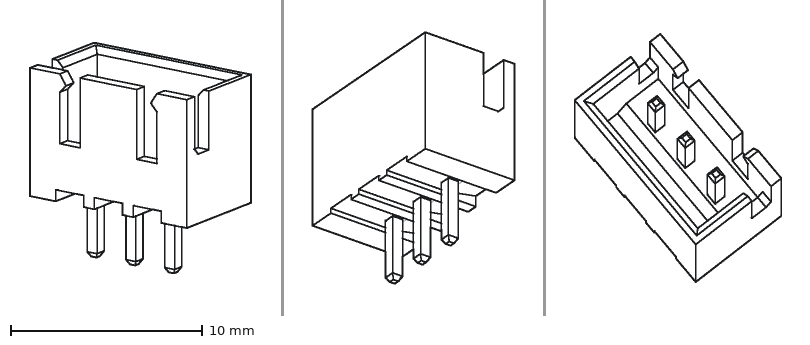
import cadquery as cq

WIDTH = 10.1
DEPTH = 5.75
HEIGHT = 7.0
WALL = 0.7

FLOOR_Z = 1.99
FLOOR_STEP = 0.59
FLOOR_SLOPE_Y = 2.84
LEAD_IN = 0.35

SIDE_SLOT_BACK_Y = 1.99
SIDE_SLOT_Z = 3.8
SIDE_SLOT_CHAMFER = 0.33

FRONT_SLOT_WIDTH = 1.3
FRONT_SLOT_INSET = 1.92
FRONT_SLOT_Z = 3.19
HOOK_REACH = 0.4
HOOK_TIP_DEPTH = 0.58
HOOK_END_DEPTH = 1.0

NOTCH_WIDTH = 1.8
NOTCH_HEIGHT = 0.29
NOTCH_FRONT_HEIGHT = 0.63
NOTCH_SLOPE_LENGTH = 1.87

PIN_COUNT = 3
PIN_PITCH = 2.5
PIN_SIZE = 0.65
PIN_Y = 2.33
PIN_BOTTOM_Z = -3.4
PIN_TOP_Z = HEIGHT - 0.99
PIN_TIP_LENGTH = 0.28
PIN_TIP_SIZE = 0.32

PIN_POSITIONS = [(i - (PIN_COUNT - 1) / 2) * PIN_PITCH for i in range(PIN_COUNT)]


def box_between(x0, x1, y0, y1, z0, z1):
    """Axis-aligned box given by its limits."""
    return cq.Workplane("XY").box(x1 - x0, y1 - y0, z1 - z0, centered=False).translate((x0, y0, z0))


def side_profile_prism(points, width, x=0):
    """Prism along X, centred on x, from (Y, Z) points."""
    return cq.Workplane("YZ").polyline(points).close().extrude(width / 2, both=True).translate((x, 0, 0))


def make_cavity():
    """Open-topped cavity whose floor slopes down behind the pins."""
    back_y = DEPTH - WALL
    return side_profile_prism(
        [
            (WALL, HEIGHT),
            (WALL, FLOOR_Z),
            (FLOOR_SLOPE_Y, FLOOR_Z),
            (FLOOR_SLOPE_Y + FLOOR_STEP, FLOOR_Z - FLOOR_STEP),
            (back_y, FLOOR_Z - FLOOR_STEP),
            (back_y, HEIGHT),
        ],
        WIDTH - 2 * WALL,
    )


def make_lead_in():
    """Cutter that bevels the cavity rim along the back and end walls."""
    inner_width = WIDTH - 2 * WALL
    inner_depth = DEPTH - 2 * WALL
    cutter = (
        cq.Workplane("XY", origin=(0, DEPTH / 2, HEIGHT - LEAD_IN))
        .rect(inner_width, inner_depth)
        .workplane(offset=LEAD_IN)
        .rect(inner_width + 2 * LEAD_IN, inner_depth + 2 * LEAD_IN)
        .loft()
    )
    behind_front_wall = box_between(-WIDTH, WIDTH, WALL, DEPTH, 0, HEIGHT)
    return cutter.intersect(behind_front_wall)


def make_side_slots():
    """Slot through both end walls with a beveled lower front corner."""
    return side_profile_prism(
        [
            (WALL, HEIGHT),
            (WALL, SIDE_SLOT_Z + SIDE_SLOT_CHAMFER),
            (WALL + SIDE_SLOT_CHAMFER, SIDE_SLOT_Z),
            (SIDE_SLOT_BACK_Y, SIDE_SLOT_Z),
            (SIDE_SLOT_BACK_Y, HEIGHT),
        ],
        WIDTH,
    )


def make_left_front_slot():
    """Front wall slot; the hook projects from its outer edge."""
    outer_x = -WIDTH / 2 + FRONT_SLOT_INSET
    inner_x = outer_x + FRONT_SLOT_WIDTH
    outline = [
        (outer_x, HEIGHT),
        (outer_x + HOOK_REACH, HEIGHT - HOOK_TIP_DEPTH),
        (outer_x, HEIGHT - HOOK_END_DEPTH),
        (outer_x, FRONT_SLOT_Z),
        (inner_x, FRONT_SLOT_Z),
        (inner_x, HEIGHT),
    ]
    return cq.Workplane("XZ").polyline(outline).close().extrude(-WALL)


def make_notch(x):
    """Underside notch through the depth, with a ceiling rising at the front."""
    return side_profile_prism(
        [
            (0, 0),
            (0, NOTCH_FRONT_HEIGHT),
            (NOTCH_SLOPE_LENGTH, NOTCH_HEIGHT),
            (DEPTH, NOTCH_HEIGHT),
            (DEPTH, 0),
        ],
        NOTCH_WIDTH,
        x,
    )


def make_pin(x):
    """Square pin with tapered ends."""
    shaft_bottom = PIN_BOTTOM_Z + PIN_TIP_LENGTH
    shaft_top = PIN_TOP_Z - PIN_TIP_LENGTH
    shaft = cq.Workplane("XY").workplane(offset=shaft_bottom).rect(PIN_SIZE, PIN_SIZE)
    pin = shaft.extrude(shaft_top - shaft_bottom)
    for end_z, direction in ((shaft_top, 1), (shaft_bottom, -1)):
        tip = (
            cq.Workplane("XY", origin=(0, 0, end_z))
            .rect(PIN_SIZE, PIN_SIZE)
            .workplane(offset=direction * PIN_TIP_LENGTH)
            .rect(PIN_TIP_SIZE, PIN_TIP_SIZE)
            .loft()
        )
        pin = pin.union(tip)
    return pin.translate((x, PIN_Y, 0))


def make_housing(pins):
    """Shrouded housing with a matching hole for each pin."""
    housing = box_between(-WIDTH / 2, WIDTH / 2, 0, DEPTH, 0, HEIGHT)
    left_slot = make_left_front_slot()
    right_slot = left_slot.mirror("YZ")
    for cutter in (make_cavity(), make_lead_in(), make_side_slots(), left_slot, right_slot):
        housing = housing.cut(cutter)
    for x in PIN_POSITIONS:
        housing = housing.cut(make_notch(x))
    for pin in pins:
        housing = housing.cut(pin)
    return housing


pins = [make_pin(x) for x in PIN_POSITIONS]
housing = make_housing(pins)

result = cq.Compound.makeCompound([housing.val(), *[pin.val() for pin in pins]])